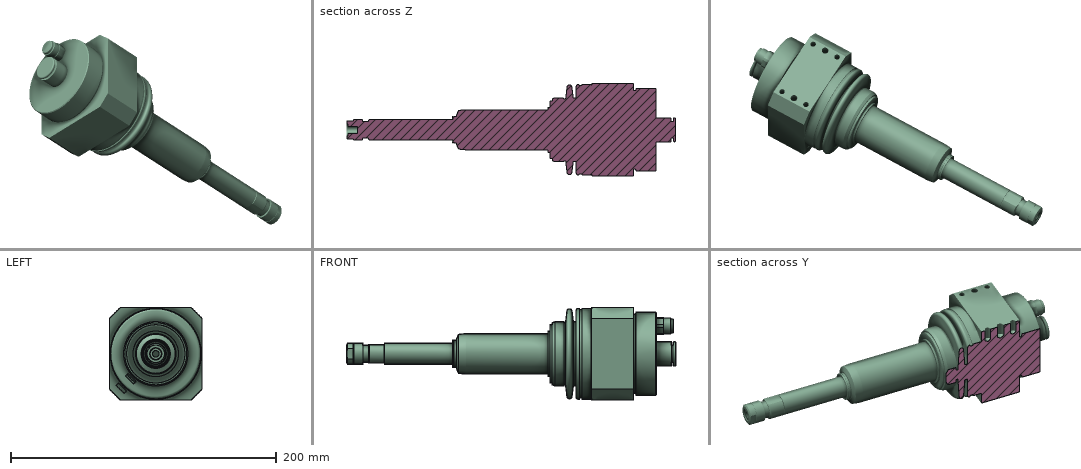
import cadquery as cq
import math

TOTAL_LENGTH = 248.56

SHAFT_RADIUS = 8.0
TIP_FACE_RADIUS = 6.6
TIP_CHAMFER_LENGTH = 0.8
FLAT_OFFSET = 7.0
TIP_FLAT_END = 5.0
TIP_RING_WIDTH = 0.5
TIP_RING_RADIUS = 7.7
TIP_HEAD_END = 12.3
NECK_RADIUS = 6.5
NECK_END = 16.5
SHAFT_FLAT_END = 28.6
SHAFT_EDGE_CHAMFER = 0.8
SHAFT_SEAM_DEPTH = 0.5
TIP_RECESS_DIAMETER = 9.2
TIP_RECESS_FLOOR_DIAMETER = 8.56
TIP_RECESS_DEPTH = 0.8
TIP_BORE_DIAMETER = 5.0
TIP_BORE_DEPTH = 8.0

COLLAR_START = 79.9
COLLAR_RADIUS = 10.3
COLLAR_RECESS_RADIUS = 9.25
COLLAR_RECESS_DEPTH = 0.4
COLLAR_GROOVE_START = 80.6
COLLAR_GROOVE_END = 81.2
COLLAR_GROOVE_RADIUS = 9.9
NOSE_CONE_START = 82.8
NOSE_CONE_RADIUS = 11.0
NOSE_START = 84.4
NOSE_RADIUS = 14.7
NOSE_SWELL_SHARE = 0.7
QUILL_START = 90.3
QUILL_RADIUS = 15.3

STEP_START = 152.0
STEP_RADIUS = 17.2
BEVEL_START = 153.4
BEVEL_FACE_RADIUS = 20.7
BEVEL_RADIUS = 22.0
BEVEL_LENGTH = 0.2
TAPER_START = 155.1
TAPER_RADIUS = 23.4
PILOT_START = 157.2
PILOT_RADIUS = 24.3
PILOT_END = 164.0
PILOT_NECK_RADIUS = 23.6

DISC_CENTRE = 168.2
DISC_RADIUS = 34.0
DISC_ROOT_HALF_WIDTH = 3.0
DISC_RIM_HALF_WIDTH = 2.0
DISC_RIM_RADIUS = 32.1

RING_START = 173.1
RING_FACE_RADIUS = 32.5
RING_RADIUS = 34.4
RING_ROUND_LENGTH = 2.0
RING_GROOVE_START = 175.6
RING_GROOVE_END = 177.6
RING_GROOVE_RADIUS = 33.5
RING_REAR_CHAMFER = 0.5

BLOCK_SIZE = 70.0
BLOCK_START = 184.9
BLOCK_END = 216.6
BLOCK_CHAMFER = 8.3
HOLE_ROW_OFFSET = 23.0
HOLE_SPACING = 10.5
SMALL_HOLE_DIAMETER = 4.13
LARGE_HOLE_DIAMETER = 5.0
HOLE_DEPTH = 10.0
DRILL_POINT_ANGLE = 118.0

COVER_END = 233.8
COVER_RADIUS = 31.5
COVER_NECK_RADIUS = 29.9
COVER_NECK_LENGTH = 1.4
COVER_FRONT_BEVEL = 0.6
COVER_REAR_CHAMFER = 0.6

HOSE_BODY_DIAMETER = 18.5
HOSE_BODY_END = 245.2
HOSE_NECK_DIAMETER = 13.0
HOSE_COLLAR_START = 246.4
HOSE_COLLAR_ROUND = 1.0

CABLE_HEIGHT = 21.0
CABLE_HEX_WIDTH = 13.0
CABLE_HEX_CORNER_DIAMETER = 14.0
CABLE_HEX_END = 239.3
CABLE_BODY_DIAMETER = 12.19
CABLE_BODY_END = 244.7
CABLE_TIP_DIAMETER = 10.6
CABLE_EDGE_CHAMFER = 0.35
CABLE_TIP_END = 246.6

MARK_LENGTH = 8.56
MARK_WIDTH = 2.6
MARK_DEPTH = 0.4
MARK_ANGLE = -45.0
DISC_MARK_RADIUS = 26.6
BLOCK_MARK_RADIUS = 36.7


def cylinder(start, end, diameter, height=0.0):
    """Cylinder parallel to X whose axis lies `height` above the main axis."""
    return cq.Workplane("YZ", origin=(start, 0, height)).circle(diameter / 2).extrude(end - start)


def make_shaft_and_quill():
    """Turned front half: tip, shaft, collar, rounded nose and quill."""
    ring_end = TIP_FLAT_END + TIP_RING_WIDTH
    shaft_edge = SHAFT_RADIUS - SHAFT_EDGE_CHAMFER
    recess_floor = COLLAR_START + COLLAR_RECESS_DEPTH
    nose_swell = (
        (NOSE_START + QUILL_START) / 2,
        NOSE_RADIUS + NOSE_SWELL_SHARE * (QUILL_RADIUS - NOSE_RADIUS),
    )
    return (
        cq.Workplane("XY")
        .moveTo(0, 0)
        .lineTo(0, TIP_FACE_RADIUS)
        .lineTo(TIP_CHAMFER_LENGTH, SHAFT_RADIUS)
        .lineTo(TIP_FLAT_END, SHAFT_RADIUS)
        .lineTo(TIP_FLAT_END, TIP_RING_RADIUS)
        .lineTo(ring_end, TIP_RING_RADIUS)
        .lineTo(ring_end, SHAFT_RADIUS)
        .lineTo(TIP_HEAD_END, SHAFT_RADIUS)
        .lineTo(TIP_HEAD_END, NECK_RADIUS)
        .lineTo(NECK_END, NECK_RADIUS)
        .lineTo(NECK_END, shaft_edge)
        .lineTo(NECK_END + SHAFT_EDGE_CHAMFER, SHAFT_RADIUS)
        .lineTo(SHAFT_FLAT_END - SHAFT_SEAM_DEPTH, SHAFT_RADIUS)
        .lineTo(SHAFT_FLAT_END, SHAFT_RADIUS - SHAFT_SEAM_DEPTH)
        .lineTo(SHAFT_FLAT_END, SHAFT_RADIUS)
        .lineTo(recess_floor, SHAFT_RADIUS)
        .lineTo(recess_floor, COLLAR_RECESS_RADIUS)
        .lineTo(COLLAR_START, COLLAR_RECESS_RADIUS)
        .lineTo(COLLAR_START, COLLAR_RADIUS)
        .lineTo(COLLAR_GROOVE_START, COLLAR_RADIUS)
        .lineTo(COLLAR_GROOVE_START, COLLAR_GROOVE_RADIUS)
        .lineTo(COLLAR_GROOVE_END, COLLAR_GROOVE_RADIUS)
        .lineTo(COLLAR_GROOVE_END, COLLAR_RADIUS)
        .lineTo(NOSE_CONE_START, COLLAR_RADIUS)
        .lineTo(NOSE_CONE_START, NOSE_CONE_RADIUS)
        .lineTo(NOSE_START, NOSE_RADIUS)
        .threePointArc(nose_swell, (QUILL_START, QUILL_RADIUS))
        .lineTo(STEP_START, QUILL_RADIUS)
        .lineTo(STEP_START, 0)
        .close()
        .revolve(360, (0, 0, 0), (1, 0, 0))
    )


def make_pilot_and_ring():
    """Turned stretch between quill and block: pilot, flange disc and grooved ring."""
    ring_round_mid = (
        RING_START + RING_ROUND_LENGTH * (1 - math.sqrt(0.5)),
        RING_FACE_RADIUS + (RING_RADIUS - RING_FACE_RADIUS) * math.sqrt(0.5),
    )
    return (
        cq.Workplane("XY")
        .moveTo(STEP_START, 0)
        .lineTo(STEP_START, STEP_RADIUS)
        .lineTo(BEVEL_START, STEP_RADIUS)
        .lineTo(BEVEL_START, BEVEL_FACE_RADIUS)
        .lineTo(BEVEL_START + BEVEL_LENGTH, BEVEL_RADIUS)
        .lineTo(TAPER_START, BEVEL_RADIUS)
        .lineTo(TAPER_START, TAPER_RADIUS)
        .lineTo(PILOT_START, PILOT_RADIUS)
        .lineTo(PILOT_END, PILOT_RADIUS)
        .lineTo(PILOT_END, PILOT_NECK_RADIUS)
        .lineTo(DISC_CENTRE - DISC_ROOT_HALF_WIDTH, PILOT_NECK_RADIUS)
        .lineTo(DISC_CENTRE - DISC_RIM_HALF_WIDTH, DISC_RIM_RADIUS)
        .threePointArc((DISC_CENTRE, DISC_RADIUS), (DISC_CENTRE + DISC_RIM_HALF_WIDTH, DISC_RIM_RADIUS))
        .lineTo(DISC_CENTRE + DISC_ROOT_HALF_WIDTH, PILOT_RADIUS)
        .lineTo(RING_START, PILOT_RADIUS)
        .lineTo(RING_START, RING_FACE_RADIUS)
        .threePointArc(ring_round_mid, (RING_START + RING_ROUND_LENGTH, RING_RADIUS))
        .lineTo(RING_GROOVE_START, RING_RADIUS)
        .lineTo(RING_GROOVE_START, RING_GROOVE_RADIUS)
        .lineTo(RING_GROOVE_END, RING_GROOVE_RADIUS)
        .lineTo(RING_GROOVE_END, RING_RADIUS)
        .lineTo(BLOCK_START - RING_REAR_CHAMFER, RING_RADIUS)
        .lineTo(BLOCK_START, RING_RADIUS - RING_REAR_CHAMFER)
        .lineTo(BLOCK_START, 0)
        .close()
        .revolve(360, (0, 0, 0), (1, 0, 0))
    )


def flat_cutter(start, end, axis):
    """Material outside a pair of flats spanning start..end, facing along 'Y' or 'Z'."""
    length = end - start
    envelope = 4 * SHAFT_RADIUS
    centre = ((start + end) / 2, 0, 0)
    outer = cq.Workplane("XY").box(length, envelope, envelope).translate(centre)
    if axis == "Y":
        kept = cq.Workplane("XY").box(length, 2 * FLAT_OFFSET, envelope)
    else:
        kept = cq.Workplane("XY").box(length, envelope, 2 * FLAT_OFFSET)
    return outer.cut(kept.translate(centre))


def tip_recess():
    """Tapered recess and blind bore in the front face of the tip."""
    recess = (
        cq.Workplane("YZ")
        .circle(TIP_RECESS_DIAMETER / 2)
        .workplane(offset=TIP_RECESS_DEPTH)
        .circle(TIP_RECESS_FLOOR_DIAMETER / 2)
        .loft()
    )
    return recess.union(cylinder(0, TIP_BORE_DEPTH, TIP_BORE_DIAMETER))


def drilled_hole(x, y, diameter):
    """Blind hole with a drill point, entering from the top face of the block."""
    radius = diameter / 2
    top = BLOCK_SIZE / 2
    point = radius / math.tan(math.radians(DRILL_POINT_ANGLE / 2))
    return (
        cq.Workplane("XZ")
        .polyline([(0, top), (radius, top), (radius, top - HOLE_DEPTH), (0, top - HOLE_DEPTH - point)])
        .close()
        .revolve(360, (0, 0, 0), (0, 1, 0))
        .translate((x, y, 0))
    )


def make_block():
    """Square block with chamfered long edges and two rows of holes in its top."""
    block = (
        cq.Workplane("YZ", origin=(BLOCK_START, 0, 0))
        .rect(BLOCK_SIZE, BLOCK_SIZE)
        .extrude(BLOCK_END - BLOCK_START)
        .edges("|X")
        .chamfer(BLOCK_CHAMFER)
    )
    middle = (BLOCK_START + BLOCK_END) / 2
    for y in (-HOLE_ROW_OFFSET, HOLE_ROW_OFFSET):
        block = block.cut(drilled_hole(middle, y, LARGE_HOLE_DIAMETER))
        for x in (middle - HOLE_SPACING, middle + HOLE_SPACING):
            block = block.cut(drilled_hole(x, y, SMALL_HOLE_DIAMETER))
    return block


def make_cover():
    """Round cover behind the block, joined to it by a short neck."""
    neck_end = BLOCK_END + COVER_NECK_LENGTH
    return (
        cq.Workplane("XY")
        .moveTo(BLOCK_END, 0)
        .lineTo(BLOCK_END, COVER_NECK_RADIUS)
        .lineTo(neck_end, COVER_NECK_RADIUS)
        .lineTo(neck_end + COVER_FRONT_BEVEL, COVER_RADIUS)
        .lineTo(COVER_END - COVER_REAR_CHAMFER, COVER_RADIUS)
        .lineTo(COVER_END, COVER_RADIUS - COVER_REAR_CHAMFER)
        .lineTo(COVER_END, 0)
        .close()
        .revolve(360, (0, 0, 0), (1, 0, 0))
    )


def make_hose_connector():
    """Round connector on the main axis, ending in a rounded collar."""
    body = cylinder(COVER_END, HOSE_BODY_END, HOSE_BODY_DIAMETER)
    neck = cylinder(HOSE_BODY_END, HOSE_COLLAR_START, HOSE_NECK_DIAMETER)
    collar = cylinder(HOSE_COLLAR_START, TOTAL_LENGTH, HOSE_BODY_DIAMETER)
    return body.union(neck).union(collar.edges().fillet(HOSE_COLLAR_ROUND))


def make_cable_connector():
    """Connector with a hexagon whose corners are turned down, above the main axis."""
    corner_to_corner = CABLE_HEX_WIDTH / math.cos(math.radians(30))
    hexagon = (
        cq.Workplane("YZ", origin=(COVER_END, 0, CABLE_HEIGHT))
        .polygon(6, corner_to_corner)
        .extrude(CABLE_HEX_END - COVER_END)
        .intersect(cylinder(COVER_END, CABLE_HEX_END, CABLE_HEX_CORNER_DIAMETER, CABLE_HEIGHT))
    )
    body = cylinder(CABLE_HEX_END, CABLE_BODY_END, CABLE_BODY_DIAMETER, CABLE_HEIGHT)
    tip = cylinder(CABLE_BODY_END, CABLE_TIP_END, CABLE_TIP_DIAMETER, CABLE_HEIGHT)
    body = body.faces(">X").chamfer(CABLE_EDGE_CHAMFER)
    tip = tip.faces(">X").chamfer(CABLE_EDGE_CHAMFER)
    return hexagon.union(body).union(tip)


def index_mark(face_x, radius):
    """Cutter for a mark set across the diagonal, MARK_DEPTH deep behind the plane X = face_x."""
    return (
        cq.Workplane("YZ", origin=(face_x, 0, 0))
        .center(radius, 0)
        .rect(MARK_WIDTH, MARK_LENGTH)
        .extrude(MARK_DEPTH)
        .rotate((0, 0, 0), (1, 0, 0), MARK_ANGLE)
    )


shaft = make_shaft_and_quill()
shaft = shaft.cut(flat_cutter(0, TIP_FLAT_END, "Y"))
shaft = shaft.cut(flat_cutter(NECK_END, SHAFT_FLAT_END, "Z"))
shaft = shaft.cut(tip_recess())

disc_face_slope = (DISC_ROOT_HALF_WIDTH - DISC_RIM_HALF_WIDTH) / (DISC_RIM_RADIUS - PILOT_NECK_RADIUS)
disc_mark_x = (
    DISC_CENTRE - DISC_ROOT_HALF_WIDTH + disc_face_slope * (DISC_MARK_RADIUS - PILOT_NECK_RADIUS)
)

result = (
    shaft.union(make_pilot_and_ring())
    .union(make_block())
    .union(make_cover())
    .union(make_hose_connector())
    .union(make_cable_connector())
    .cut(index_mark(disc_mark_x, DISC_MARK_RADIUS))
    .cut(index_mark(BLOCK_START, BLOCK_MARK_RADIUS))
)